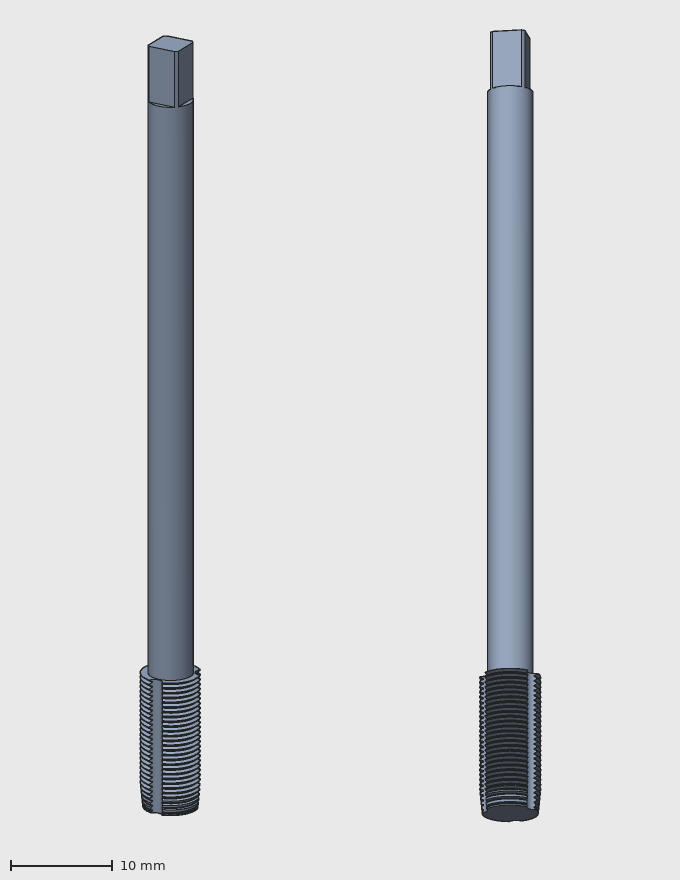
import cadquery as cq
import math

total_length = 80.0
square_width = 3.4
square_length = 5.8

shank_diameter = 4.5

head_length = 14.0
head_diameter = 6.0
groove_count = 28
thread_pitch = head_length / groove_count
groove_depth = 0.34
crest_width = thread_pitch / 8
root_width = crest_width
lead_length = 2.4
lead_step = 0.2

flute_count = 3
first_flute_angle = -90.0
flute_floor_radius = 2.4
flute_cutter_radius = 0.8

head_radius = head_diameter / 2
shank_radius = shank_diameter / 2


def make_shank():
    """Round shank milled to a drive square on its upper end; the square's corners stay round."""
    shank = (
        cq.Workplane("XY", origin=(0, 0, head_length))
        .circle(shank_radius)
        .extrude(total_length - head_length)
    )
    waste = (
        cq.Workplane("XY", origin=(0, 0, total_length - square_length))
        .circle(shank_diameter)
        .rect(square_width, square_width)
        .extrude(square_length)
    )
    return shank.cut(waste)


def thread_blank():
    """Turned head with one ring-shaped trapezoidal groove in the middle of each pitch."""
    root_radius = head_radius - groove_depth
    mouth_half = (thread_pitch - crest_width) / 2
    root_half = root_width / 2
    profile = [(0, 0), (head_radius, 0)]
    for groove in range(groove_count):
        middle = (groove + 0.5) * thread_pitch
        profile.append((head_radius, middle - mouth_half))
        profile.append((root_radius, middle - root_half))
        profile.append((root_radius, middle + root_half))
        profile.append((head_radius, middle + mouth_half))
    profile.append((head_radius, head_length))
    profile.append((0, head_length))
    return cq.Workplane("XZ").polyline(profile).close().revolve(360, (0, 0, 0), (0, 1, 0))


def lead_envelope():
    """Plain head shape whose lower end is chamfered; it trims the crests and leaves the roots."""
    envelope = cq.Workplane("XY").circle(head_radius).extrude(head_length)
    return envelope.faces("<Z").chamfer(lead_length, lead_step)


def flute_cutter(angle):
    """Round cutter for one straight flute along the head."""
    centre_radius = flute_floor_radius + flute_cutter_radius
    centre_x = centre_radius * math.cos(math.radians(angle))
    centre_y = centre_radius * math.sin(math.radians(angle))
    return cq.Workplane("XY").center(centre_x, centre_y).circle(flute_cutter_radius).extrude(head_length)


def make_threaded_head():
    """Threaded head with evenly spaced flutes over its whole length."""
    head = thread_blank().intersect(lead_envelope())
    for index in range(flute_count):
        head = head.cut(flute_cutter(first_flute_angle + index * 360 / flute_count))
    return head


shank = make_shank()
threaded_head = make_threaded_head()

result = cq.Compound.makeCompound([shank.val(), threaded_head.val()])